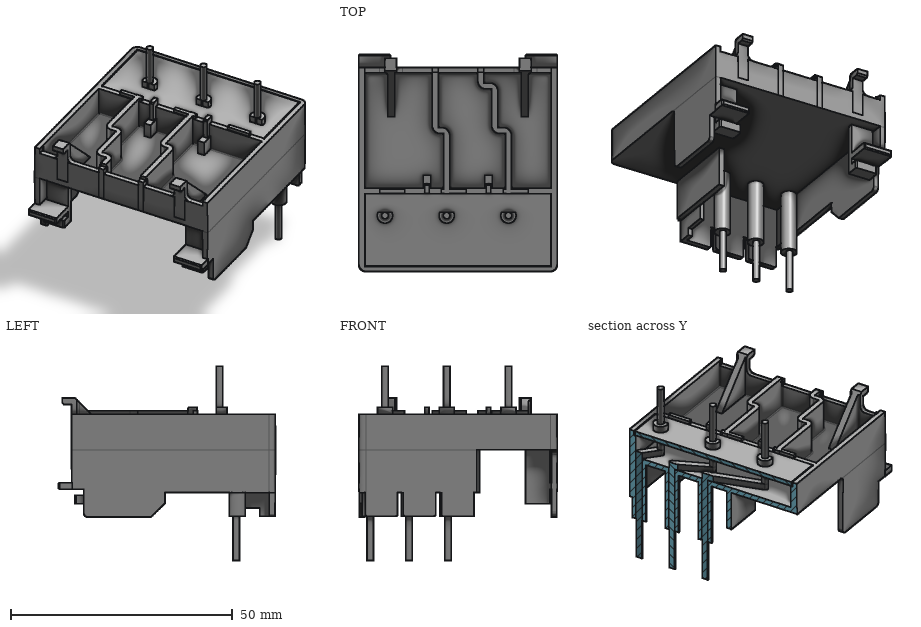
import cadquery as cq
import math


width = 44.8
depth = 46.05
upper_height = 8.1
corner_radius = 1.55
draft_angle = 0.5
wall = 1.3
floor_thickness = 1.4
half_width = width / 2
inner_half = half_width - wall

cross_wall_front = 17.6
cross_wall_back = 18.8
rear_wall_front = 44.8
rear_wall_top = 6.85
divider_top = 8.85
divider_step_y = 45.0
divider_width = 1.3
divider_bend = 1.75
divider_rear_x = 5.15
divider_middle_x = 8.3
front_bend_y = 31.8
rear_bend_y = 41.85
floor_fillet = 0.25
rear_corner_fillet = 0.4
cut_clearance = 2.45

pole_count = 3
pin_diameter = 1.5
pin_radius = pin_diameter / 2
pin_top = 18.85
pin_bottom = -24.95
top_pin_y = 12.65
top_pin_start = -16.45
top_pin_pitch = 13.9
bottom_pin_y = 8.9
bottom_pin_start = -19.8
bottom_pin_pitch = 8.75
link_height = pin_diameter

top_boss_radius = 1.7
top_boss_flat = 0.75
bottom_boss_radius = 1.8
bottom_boss_y = 8.65
top_boss_height = 1.55

cover_thickness = 1.2
cover_gap = 0.2
cover_ledge = 0.5

side_wall_bottom = -9.6
front_wall_end = 4.2
front_wall_thickness = 1.4
inner_wall_end = 4.85
tongue_bottom = -14.95
tongue_left = -20.9
tongue_right = 3.65
tongue_gap = 1.25
tongue_radius = 0.45
foot_bottom = -15.15
foot_front = 24.95
foot_back = 43.3
left_foot_chamfer_height = 3.1
left_foot_chamfer_length = 3.2
right_wall_front = foot_front + left_foot_chamfer_length
right_foot_radius = 1.22
right_wall_cove = 1.0
foot_corner = 1.0
return_thickness = 1.0
return_step_y = 3.65
return_bottom = -13.15

tab_end = 49.0
tab_top = -7.35
tab_bottom = -8.85
tab_inner_x = 15.2
tab_root = 0.25
tab_chamfer = 0.3
catch_bottom = -12.15
catch_nub_height = 1.95
catch_nub_end = 45.3
catch_outer_x = 20.75

hook_inner_x = 13.8
hook_width = 2.65
hook_top = 11.75
hook_tip_y = 48.1
hook_tip_bottom = 10.25
hook_top_front = 45.3
hook_chamfer = hook_top_front - rear_wall_front
hook_tip_chamfer = 0.4
hook_foot_radius = 1.25
gusset_width = 1.65
gusset_fillet = 0.5
gusset_inner_x = 14.2

rib_left_start = -17.65
rib_length = 5.6
rib_thickness = 0.95
post_x = -7.0
post_width = 1.0
post_front = 17.7
post_back = 19.8
post_top = 9.65
post_chamfer = 0.3
block_width = 1.65
block_back = 21.7
block_top = 4.9


def box(x, y, z):
    """Box spanning the (low, high) pairs along each axis."""
    return (
        cq.Workplane("XY")
        .box(x[1] - x[0], y[1] - y[0], z[1] - z[0], centered=False)
        .translate((x[0], y[0], z[0]))
    )


def prism_x(points, x_low, x_high):
    """Y-Z outline extruded along X."""
    return (
        cq.Workplane("YZ").workplane(offset=x_low).polyline(points).close().extrude(x_high - x_low)
    )


def mirrored_pair(body):
    """A body and its mirror image across the middle plane X = 0."""
    return body.union(body.mirror("YZ"))


def envelope(height):
    """Drafted outer block, standing on the parting plane or hanging from it."""
    block = box((-half_width, half_width), (0, depth), (0, 0.5))
    outline = block.edges("|Z and <Y").fillet(corner_radius).faces("<Z").wires().val()
    blank = cq.Workplane("XY").add(outline).toPending()
    return blank.extrude(height, taper=draft_angle)


def top_pin_x(pole):
    return top_pin_start + pole * top_pin_pitch


def bottom_pin_x(pole):
    return bottom_pin_start + pole * bottom_pin_pitch


def stepped_divider(start_x, bends):
    """Divider from the rear wall to the cross wall; each bend is (y, new x) and shifts it in +X."""
    half = divider_width / 2
    left = cq.Workplane("XY").moveTo(start_x - half, depth)
    x = start_x
    for bend_y, next_x in bends:
        left = (
            left.lineTo(x - half, bend_y - half + divider_bend)
            .radiusArc((x - half + divider_bend, bend_y - half), -divider_bend)
            .lineTo(next_x - half, bend_y - half)
        )
        x = next_x
    outline = left.lineTo(x - half, cross_wall_front).lineTo(x + half, cross_wall_front)
    for index in reversed(range(len(bends))):
        bend_y, next_x = bends[index]
        previous_x = bends[index - 1][1] if index > 0 else start_x
        outline = (
            outline.lineTo(next_x + half, bend_y + half - divider_bend)
            .radiusArc((next_x + half - divider_bend, bend_y + half), -divider_bend)
            .lineTo(previous_x + half, bend_y + half)
        )
    return outline.lineTo(start_x + half, depth).close().extrude(divider_top)


def make_dividers():
    """Two cranked dividers whose front stretches line up with the middle and right top pins."""
    left = stepped_divider(-divider_rear_x, [(front_bend_y, top_pin_x(1))])
    right = stepped_divider(
        divider_rear_x, [(rear_bend_y, divider_middle_x), (front_bend_y, top_pin_x(2))]
    )
    rear_step = box(
        (-inner_half, inner_half), (divider_step_y, depth), (upper_height, divider_top)
    )
    return left.union(right).cut(rear_step)


def make_bay_space(dividers):
    """Space of the three bays, including the gap over the lowered rear wall."""
    ceiling = divider_top + cut_clearance
    bays = box(
        (-inner_half, inner_half), (cross_wall_back, rear_wall_front), (floor_thickness, ceiling)
    ).cut(dividers)
    bays = bays.faces(">Y").edges("|Z").fillet(rear_corner_fillet)
    bays = bays.faces("<Z").edges().fillet(floor_fillet)
    rear_gap = box(
        (-inner_half, inner_half), (rear_wall_front, depth + cut_clearance), (rear_wall_top, ceiling)
    ).cut(dividers)
    return bays.union(rear_gap)


def make_front_chamber():
    """Contact chamber and the wider seat of the cover above it."""
    seat_bottom = upper_height - cover_thickness
    chamber = box(
        (-inner_half + cover_ledge, inner_half - cover_ledge),
        (wall + cover_ledge, cross_wall_front - cover_ledge),
        (floor_thickness, upper_height),
    )
    seat = box(
        (-inner_half, inner_half),
        (wall - cover_gap, cross_wall_front),
        (seat_bottom, upper_height + cut_clearance),
    )
    return chamber.union(seat)


def make_top_boss(pole):
    """Round boss on the cover with a flat rear face that just exposes the pin."""
    x = top_pin_x(pole)
    boss = cq.Workplane("XY").workplane(offset=upper_height).center(x, top_pin_y).circle(top_boss_radius)
    boss = boss.extrude(top_boss_height)
    keep = box(
        (x - top_boss_radius, x + top_boss_radius),
        (top_pin_y - top_boss_radius, top_pin_y + top_boss_flat),
        (upper_height, upper_height + top_boss_height),
    )
    return boss.intersect(keep)


def make_hook():
    """Right-hand hook with its gusset and the coves that join it to the rear wall."""
    outer_x = hook_inner_x + hook_width
    body = prism_x(
        [
            (rear_wall_front, floor_thickness),
            (depth, floor_thickness),
            (depth, hook_tip_bottom),
            (hook_tip_y - hook_tip_chamfer, hook_tip_bottom),
            (hook_tip_y, hook_tip_bottom + hook_tip_chamfer),
            (hook_tip_y, hook_top),
            (hook_top_front, hook_top),
            (rear_wall_front, hook_top - hook_chamfer),
        ],
        hook_inner_x,
        outer_x,
    )
    gusset_height = hook_top - hook_chamfer - floor_thickness
    gusset = prism_x(
        [
            (rear_wall_front, floor_thickness),
            (rear_wall_front, floor_thickness + gusset_height),
            (rear_wall_front - gusset_height, floor_thickness),
        ],
        gusset_inner_x,
        gusset_inner_x + gusset_width,
    )
    inside_corner = cq.NearestToPointSelector(
        (gusset_inner_x + gusset_width, rear_wall_front, floor_thickness + gusset_height / 2)
    )
    braced = body.union(gusset).edges(inside_corner).fillet(gusset_fillet)
    foot = box(
        (hook_inner_x - hook_foot_radius, outer_x + hook_foot_radius),
        (rear_wall_front, depth),
        (rear_wall_top, rear_wall_top + hook_foot_radius),
    )
    coves = (
        cq.Workplane("XZ", origin=(0, depth, rear_wall_top + hook_foot_radius))
        .pushPoints([(hook_inner_x - hook_foot_radius, 0), (outer_x + hook_foot_radius, 0)])
        .circle(hook_foot_radius)
        .extrude(depth - rear_wall_front)
    )
    return braced.union(foot.cut(coves))


def make_cross_wall_ribs():
    """Low ribs on the cross wall, one per pole."""
    ribs = cq.Workplane("XY")
    for pole in range(pole_count):
        start = rib_left_start + pole * top_pin_pitch
        ribs = ribs.union(
            box(
                (start, start + rib_length),
                (post_front, post_front + rib_thickness),
                (floor_thickness, divider_top),
            )
        )
    return ribs


def make_posts():
    """Upright posts on the cross wall, each backed by a block in the bay."""
    posts = cq.Workplane("XY")
    for index in range(pole_count - 1):
        x = post_x + index * top_pin_pitch
        post = box(
            (x - post_width / 2, x + post_width / 2),
            (post_front, post_back),
            (floor_thickness, post_top),
        )
        post = post.edges(">Y and >Z").chamfer(post_chamfer)
        block = box(
            (x - block_width / 2, x + block_width / 2),
            (cross_wall_front, block_back),
            (floor_thickness, block_top),
        )
        posts = posts.union(post).union(block)
    return posts


def make_front_wall():
    """Front wall that ends in three tongues."""
    front = box((-half_width, front_wall_end), (0, front_wall_thickness), (side_wall_bottom, 0))
    pitch = (tongue_right - tongue_left + tongue_gap) / pole_count
    for pole in range(pole_count):
        left = tongue_left + pole * pitch
        tongue = box(
            (left, left + pitch - tongue_gap), (0, front_wall_thickness), (tongue_bottom, side_wall_bottom)
        )
        front = front.union(tongue.edges("|Y and <Z").fillet(tongue_radius))
    return front


def make_side_wall(outline):
    """Side wall in the plane of the left face from its Y-Z outline."""
    wall_body = prism_x(outline, -half_width, -inner_half)
    return wall_body.faces("<Z").edges(">Y").fillet(foot_corner)


def make_left_wall():
    return make_side_wall(
        [
            (0, 0),
            (0, side_wall_bottom),
            (foot_front, side_wall_bottom),
            (foot_front, foot_bottom + left_foot_chamfer_height),
            (foot_front + left_foot_chamfer_length, foot_bottom),
            (foot_back, foot_bottom),
            (foot_back, tab_bottom),
            (depth, tab_bottom),
            (depth, 0),
        ]
    )


def make_right_wall():
    """Right wall: only the rear stretch, with a cove where its front edge meets the floor."""
    plain = make_side_wall(
        [
            (right_wall_front, 0),
            (right_wall_front, foot_bottom),
            (foot_back, foot_bottom),
            (foot_back, tab_bottom),
            (depth, tab_bottom),
            (depth, 0),
        ]
    )
    plain = plain.faces("<Z").edges("<Y").fillet(right_foot_radius)
    cove = (
        cq.Workplane("YZ")
        .workplane(offset=-half_width)
        .moveTo(right_wall_front, 0)
        .lineTo(right_wall_front - right_wall_cove, 0)
        .radiusArc((right_wall_front, -right_wall_cove), right_wall_cove)
        .close()
        .extrude(wall)
    )
    return plain.union(cove).mirror("YZ")


def make_inner_wall():
    """Wall behind the end of the front wall, closing the pin area towards the open channel."""
    return box(
        (inner_wall_end - wall, inner_wall_end),
        (front_wall_thickness / 2, cross_wall_back),
        (side_wall_bottom, 0),
    )


def make_bottom_boss(pole):
    """Round boss that carries a bottom pin."""
    boss = cq.Workplane("XY").center(bottom_pin_x(pole), bottom_boss_y).circle(bottom_boss_radius)
    return boss.extrude(tongue_bottom)


def make_tongue_return():
    """Stepped web that runs back from the free side of the last tongue."""
    return prism_x(
        [
            (0, 0),
            (0, tongue_bottom),
            (return_step_y, tongue_bottom),
            (return_step_y, return_bottom),
            (bottom_boss_y, return_bottom),
            (bottom_boss_y, 0),
        ],
        tongue_right - return_thickness,
        tongue_right,
    )


def make_rear_catch():
    """Right-hand rear tab with the catch wall below it."""
    tab = box((tab_inner_x, half_width), (depth - tab_root, tab_end), (tab_bottom, tab_top))
    tab = tab.faces(">Y").edges().chamfer(tab_chamfer)
    shelf = box((tab_inner_x, inner_half), (foot_back - wall, depth), (tab_bottom, tab_top))
    catch = box((tab_inner_x, catch_outer_x), (foot_back - wall, foot_back), (catch_bottom, 0))
    nub = box(
        (tab_inner_x, catch_outer_x),
        (foot_back, catch_nub_end),
        (catch_bottom, catch_bottom + catch_nub_height),
    )
    nub = nub.edges("|Z and >Y").chamfer(tab_chamfer)
    return tab.union(shelf).union(catch).union(nub)


def pin_cylinder(x, y, bottom, top):
    return cq.Workplane("XY").workplane(offset=bottom).center(x, y).circle(pin_radius).extrude(top - bottom)


def make_contact(pole):
    """One contact: top pin, link lying on the chamber floor, and bottom pin."""
    top_x = top_pin_x(pole)
    low_x = bottom_pin_x(pole)
    run_x = top_x - low_x
    run_y = top_pin_y - bottom_pin_y
    link_top = floor_thickness + link_height
    link = (
        cq.Workplane("XY")
        .slot2D(math.hypot(run_x, run_y) + pin_diameter, pin_diameter)
        .extrude(link_height)
        .rotate((0, 0, 0), (0, 0, 1), math.degrees(math.atan2(run_y, run_x)))
        .translate(((top_x + low_x) / 2, (top_pin_y + bottom_pin_y) / 2, floor_thickness))
    )
    top_pin = pin_cylinder(top_x, top_pin_y, floor_thickness, pin_top)
    low_pin = pin_cylinder(low_x, bottom_pin_y, pin_bottom, link_top)
    return link.union(top_pin).union(low_pin)


def make_cover():
    """Cover plate of the front chamber with three half-round bosses and its pin holes."""
    cover = box(
        (-inner_half + cover_gap, inner_half - cover_gap),
        (wall, cross_wall_front),
        (upper_height - cover_thickness, upper_height),
    )
    for pole in range(pole_count):
        cover = cover.union(make_top_boss(pole))
        cover = cover.cut(pin_cylinder(top_pin_x(pole), top_pin_y, 0, pin_top))
    return cover


def make_housing():
    dividers = make_dividers()
    upper = envelope(upper_height).union(dividers)
    upper = upper.cut(make_bay_space(dividers)).cut(make_front_chamber())
    upper = upper.union(mirrored_pair(make_hook()))
    upper = upper.union(make_cross_wall_ribs()).union(make_posts())

    lower = make_front_wall().union(make_left_wall()).union(make_right_wall())
    lower = lower.union(make_inner_wall()).union(make_tongue_return())
    for pole in range(pole_count):
        lower = lower.union(make_bottom_boss(pole))
    lower = lower.intersect(envelope(foot_bottom))
    lower = lower.union(mirrored_pair(make_rear_catch()))

    housing = upper.union(lower)
    for pole in range(pole_count):
        housing = housing.cut(pin_cylinder(bottom_pin_x(pole), bottom_pin_y, pin_bottom, floor_thickness))
    return housing


housing = make_housing()
cover = make_cover()
contacts = [make_contact(pole) for pole in range(pole_count)]

result = cq.Compound.makeCompound(
    [housing.val(), cover.val(), *[contact.val() for contact in contacts]]
)